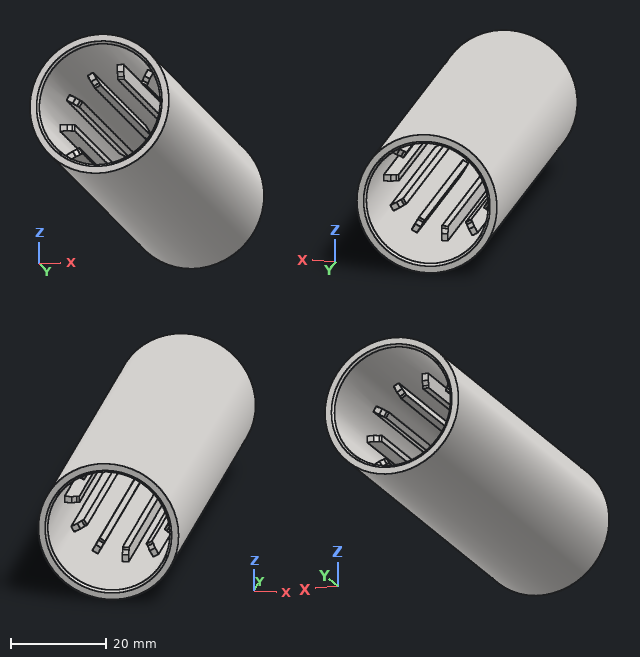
import cadquery as cq

length = 90.0
outer_radius = 15.0
bore_radius = 13.05
mouth_chamfer = 0.5

rib_count = 12
rib_width = 1.35
rib_setback = 20.0
rib_length = length - 2 * rib_setback
rib_tip_radius = 10.0

shoulder_radius = 11.5
ledge_radius = 10.5
slope_depth = (shoulder_radius - ledge_radius) / 2

rib_root_radius = (outer_radius + bore_radius) / 2


def make_tube():
    """Plain tube with its bore chamfered at both ends."""
    start = cq.Workplane("XZ", origin=(0, -length / 2, 0))
    tube = start.circle(outer_radius).circle(bore_radius).extrude(-length)
    bore_rims = cq.selectors.RadiusNthSelector(0)
    return tube.edges(bore_rims).chamfer(mouth_chamfer)


def make_rib_ring():
    """Full ring with the rib profile: each end has a conical slope down to a flat ledge."""
    end = rib_length / 2
    ledge_end = end - slope_depth
    half_profile = [
        (rib_root_radius, end),
        (shoulder_radius, end),
        (ledge_radius, ledge_end),
        (rib_tip_radius, ledge_end),
    ]
    mirrored_half = [(radius, -y) for radius, y in reversed(half_profile)]
    profile = cq.Workplane("XY").polyline(half_profile + mirrored_half).close()
    return profile.revolve(360, (0, 0, 0), (0, 1, 0))


def make_rib():
    """Slice of the ring, one rib wide, on the +X side."""
    slice_box = cq.Workplane("XY").box(outer_radius, length, rib_width, centered=(False, True, True))
    return make_rib_ring().intersect(slice_box)


result = make_tube()
rib = make_rib()
for index in range(rib_count):
    angle = index * 360 / rib_count
    result = result.union(rib.rotate((0, 0, 0), (0, 1, 0), angle))